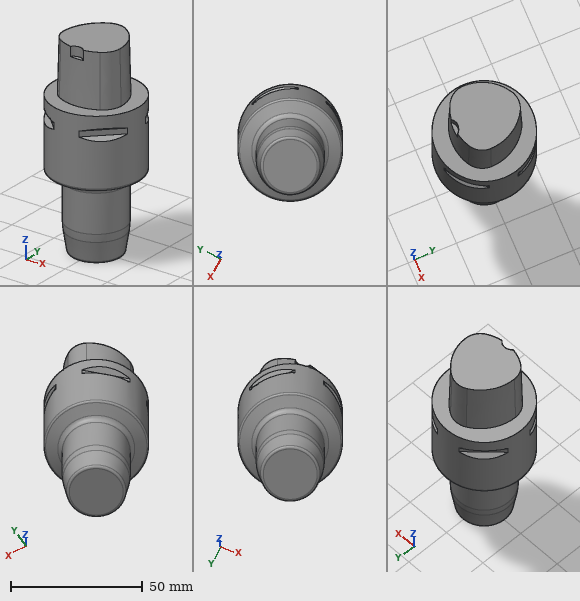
import cadquery as cq
import math

total_height = 90.0
shoulder_height = 66.1

collar_radius = 40.0 / 2
neck_radius = 26.0 / 2
collar_cone_angle = 20.0
cone_neck_height = 32.1
neck_fillet = 2.5
collar_edge_round = 1.0
nose_angle = 9.0
nose_break_height = 11.3
nose_blend_radius = 22.5
nose_tip_round = 1.1

shank_mean_radius = 14.0
lobe_eccentricity = 0.8
shank_taper_per_side = 1 / 40

keyway_radius = 3.8
keyway_inner_distance = 10.9
keyway_depth = 4.2

slot_height = 58.05
slot_floor_distance = 17.6
slot_floor_width = 2.4
slot_mouth_width = 5.4
slot_clearance = 1.8


def turned_body():
    cone_rise = (collar_radius - neck_radius) * math.tan(math.radians(collar_cone_angle))
    collar_bottom = cone_neck_height + cone_rise
    nose_radius = neck_radius - nose_break_height * math.tan(math.radians(nose_angle))
    body = (
        cq.Workplane("XZ")
        .moveTo(0, 0)
        .lineTo(nose_radius, 0)
        .lineTo(neck_radius, nose_break_height)
        .lineTo(neck_radius, cone_neck_height)
        .lineTo(collar_radius, collar_bottom)
        .lineTo(collar_radius, shoulder_height)
        .lineTo(0, shoulder_height)
        .close()
        .revolve(360, (0, 0, 0), (0, 1, 0))
    )
    rounded_corners = [
        (nose_radius, 0, nose_tip_round),
        (neck_radius, nose_break_height, nose_blend_radius),
        (neck_radius, cone_neck_height, neck_fillet),
        (collar_radius, collar_bottom, collar_edge_round),
    ]
    margin = 0.1
    for radius, height, rounding in rounded_corners:
        box = cq.selectors.BoxSelector(
            (-radius - margin, -radius - margin, height - margin),
            (radius + margin, radius + margin, height + margin),
            boundingbox=True,
        )
        body = body.edges(box).fillet(rounding)
    return body


def polar_point(center, radius, angle):
    turn = math.radians(angle)
    return (center[0] + radius * math.cos(turn), center[1] + radius * math.sin(turn))


def shank():
    center_distance = 2 * lobe_eccentricity / (2 - math.sqrt(3))
    lobe_radius = shank_mean_radius + lobe_eccentricity - center_distance
    flank_radius = shank_mean_radius - lobe_eccentricity + center_distance
    lobe_half_angle = 30
    first_lobe_center = (0, center_distance)
    start_angle = 90 - lobe_half_angle
    outline = cq.Workplane("XY", origin=(0, 0, shoulder_height)).moveTo(
        *polar_point(first_lobe_center, lobe_radius, start_angle)
    )
    for lobe_angle in (90, 210, 330):
        lobe_center = polar_point((0, 0), center_distance, lobe_angle)
        flank_angle = lobe_angle + 60
        flank_center = polar_point((0, 0), center_distance, flank_angle + 180)
        outline = outline.threePointArc(
            polar_point(lobe_center, lobe_radius, lobe_angle),
            polar_point(lobe_center, lobe_radius, lobe_angle + lobe_half_angle),
        ).threePointArc(
            polar_point(flank_center, flank_radius, flank_angle),
            polar_point(flank_center, flank_radius, flank_angle + lobe_half_angle),
        )
    taper_angle = math.degrees(math.atan(shank_taper_per_side))
    return outline.close().extrude(total_height - shoulder_height, taper=taper_angle)


def keyway_cutter():
    return (
        cq.Workplane("XY", origin=(0, 0, total_height - keyway_depth))
        .center(0, -keyway_inner_distance - keyway_radius)
        .circle(keyway_radius)
        .extrude(keyway_depth)
    )


def slot_cutter():
    floor_half = slot_floor_width / 2
    wall_slope = (slot_mouth_width / 2 - floor_half) / (collar_radius - slot_floor_distance)
    outer_distance = collar_radius + slot_clearance
    outer_half = floor_half + wall_slope * (outer_distance - slot_floor_distance)
    return (
        cq.Workplane("XZ", origin=(0, 0, slot_height))
        .moveTo(slot_floor_distance, -floor_half)
        .lineTo(outer_distance, -outer_half)
        .lineTo(outer_distance, outer_half)
        .lineTo(slot_floor_distance, floor_half)
        .close()
        .extrude(collar_radius, both=True)
    )


result = turned_body().union(shank()).cut(keyway_cutter())
for diagonal in (45, 135, 225, 315):
    result = result.cut(slot_cutter().rotate((0, 0, 0), (0, 0, 1), diagonal))